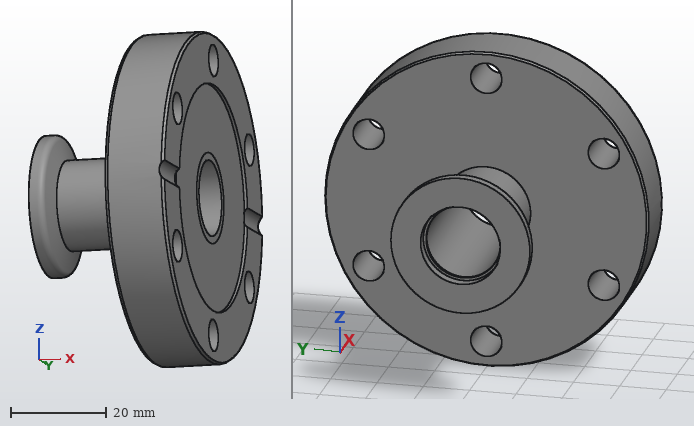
import cadquery as cq
import math

TOTAL_LENGTH = 36.0
FLANGE_DIAMETER = 70.0
FLANGE_THICKNESS = 13.0
FLANGE_FACE_X = TOTAL_LENGTH - FLANGE_THICKNESS
RIM_CHAMFER_LENGTH = 0.6
RIM_CHAMFER_HEIGHT = 0.35

BOLT_COUNT = 6
BOLT_HOLE_DIAMETER = 6.7
BOLT_CIRCLE_DIAMETER = 58.65

RECESS_DIAMETER = 48.3
RECESS_DEPTH = 0.7
RECESS_FLOOR_X = TOTAL_LENGTH - RECESS_DEPTH
GROOVE_RADIUS = 2.5
GROOVE_DEPTH = 1.05

TUBE_OUTER_DIAMETER = 19.2
BORE_DIAMETER = 16.0
TUBE_START_X = 3.1

FERRULE_DIAMETER = 30.0
FERRULE_RIM_WIDTH = 1.9
FERRULE_EDGE_RADIUS = 1.5
FERRULE_TAPER = math.radians(15)
COUNTERBORE_DIAMETER = 17.2
COUNTERBORE_DEPTH = 2.45


def x_cylinder(diameter, start, end):
    """Solid cylinder on the X axis between two X positions."""
    return cq.Workplane("YZ", origin=(start, 0, 0)).circle(diameter / 2).extrude(end - start)


def make_flange():
    """Disc with bolt holes, a through hole for the tube and a grooved seal recess."""
    rim_radius = FLANGE_DIAMETER / 2
    face_radius = rim_radius - RIM_CHAMFER_HEIGHT
    disc = (
        cq.Workplane("XY")
        .moveTo(FLANGE_FACE_X, 0)
        .lineTo(FLANGE_FACE_X, face_radius)
        .lineTo(FLANGE_FACE_X + RIM_CHAMFER_LENGTH, rim_radius)
        .lineTo(TOTAL_LENGTH - RIM_CHAMFER_LENGTH, rim_radius)
        .lineTo(TOTAL_LENGTH, face_radius)
        .lineTo(TOTAL_LENGTH, 0)
        .close()
        .revolve(360, (0, 0, 0), (1, 0, 0))
    )

    bolt_holes = (
        cq.Workplane("YZ", origin=(FLANGE_FACE_X, 0, 0))
        .polarArray(BOLT_CIRCLE_DIAMETER / 2, 90, 360, BOLT_COUNT)
        .circle(BOLT_HOLE_DIAMETER / 2)
        .extrude(FLANGE_THICKNESS)
    )

    recess = x_cylinder(RECESS_DIAMETER, RECESS_FLOOR_X, TOTAL_LENGTH)
    tube_hole = x_cylinder(TUBE_OUTER_DIAMETER, FLANGE_FACE_X, TOTAL_LENGTH)

    groove_axis_x = TOTAL_LENGTH - GROOVE_DEPTH + GROOVE_RADIUS
    recess_core = x_cylinder(RECESS_DIAMETER, FLANGE_FACE_X, groove_axis_x + GROOVE_RADIUS)
    grooves = (
        cq.Workplane("XZ")
        .center(groove_axis_x, 0)
        .circle(GROOVE_RADIUS)
        .extrude(rim_radius, both=True)
        .cut(recess_core)
    )
    return disc.cut(bolt_holes).cut(recess).cut(tube_hole).cut(grooves)


def make_tube():
    """Plain tube from its seat in the ferrule to the floor of the seal recess."""
    outside = x_cylinder(TUBE_OUTER_DIAMETER, TUBE_START_X, RECESS_FLOOR_X)
    return outside.cut(x_cylinder(BORE_DIAMETER, TUBE_START_X, RECESS_FLOOR_X))


def make_ferrule():
    """Clamp ring with a rounded edge, tapered back, counterbore and tube seat."""
    outer_radius = FERRULE_DIAMETER / 2
    tube_radius = TUBE_OUTER_DIAMETER / 2
    arc_center_radius = outer_radius - FERRULE_EDGE_RADIUS

    def edge_point(angle):
        """Point on the rounded edge; the angle is measured from the X axis."""
        return (
            FERRULE_RIM_WIDTH + FERRULE_EDGE_RADIUS * math.cos(angle),
            arc_center_radius + FERRULE_EDGE_RADIUS * math.sin(angle),
        )

    taper_start = edge_point(FERRULE_TAPER)
    arc_middle = edge_point((FERRULE_TAPER + math.pi / 2) / 2)
    back_x = taper_start[0] + (taper_start[1] - tube_radius) * math.tan(FERRULE_TAPER)

    return (
        cq.Workplane("XY")
        .moveTo(COUNTERBORE_DEPTH, BORE_DIAMETER / 2)
        .lineTo(COUNTERBORE_DEPTH, COUNTERBORE_DIAMETER / 2)
        .lineTo(0, COUNTERBORE_DIAMETER / 2)
        .lineTo(0, outer_radius)
        .lineTo(FERRULE_RIM_WIDTH, outer_radius)
        .threePointArc(arc_middle, taper_start)
        .lineTo(back_x, tube_radius)
        .lineTo(TUBE_START_X, tube_radius)
        .lineTo(TUBE_START_X, BORE_DIAMETER / 2)
        .close()
        .revolve(360, (0, 0, 0), (1, 0, 0))
    )


flange = make_flange()
tube = make_tube()
ferrule = make_ferrule()

result = cq.Compound.makeCompound([flange.val(), tube.val(), ferrule.val()])